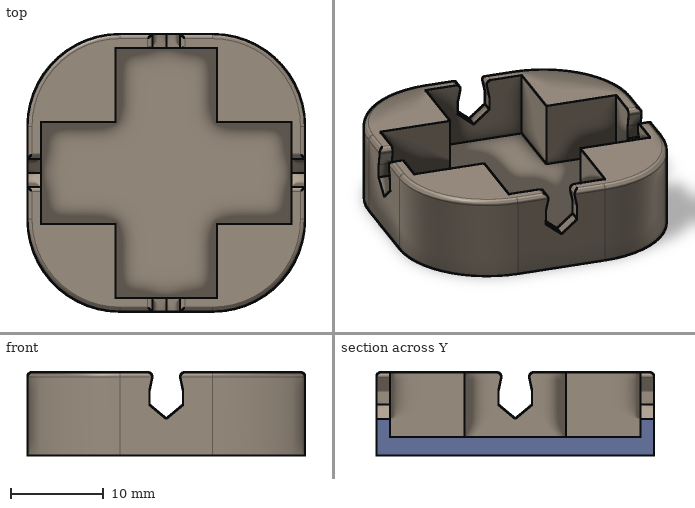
import cadquery as cq

side = 30.0
height = 9.0
corner_radius = side / 3
rim_radius = 0.5

wall = 1.5
floor = 2.0
arm_width = 11.0
arm_length = side - 2 * wall

neck_half_width = 1.5
seat_half_width = 1.8
neck_bottom = height - 0.6
seat_top = 7.0
seat_bottom = 5.5
notch_bottom = 4.0


def make_body():
    """Block with large vertical corner rounds."""
    block = cq.Workplane("XY").box(side, side, height, centered=(True, True, False))
    return block.edges("|Z").fillet(corner_radius)


def make_notch_channel():
    """Notch profile run along Y through the whole body."""
    right_half = [
        (seat_half_width, seat_bottom),
        (seat_half_width, seat_top),
        (neck_half_width, neck_bottom),
        (neck_half_width, height),
    ]
    left_half = [(-x, z) for x, z in reversed(right_half)]
    profile = [(0, notch_bottom)] + right_half + left_half
    return cq.Workplane("XZ").polyline(profile).close().extrude(side / 2, both=True)


def make_cross_pocket():
    """Two crossing bars that stop short of the outer walls."""
    depth = height - floor
    plane = cq.Workplane("XY").workplane(offset=floor)
    along_x = plane.rect(arm_length, arm_width).extrude(depth)
    along_y = plane.rect(arm_width, arm_length).extrude(depth)
    return along_x.union(along_y)


channel = make_notch_channel()
body = make_body()
body = body.cut(channel).cut(channel.rotate((0, 0, 0), (0, 0, 1), 90))

body = body.faces(">Z").edges().fillet(rim_radius)
result = body.cut(make_cross_pocket())